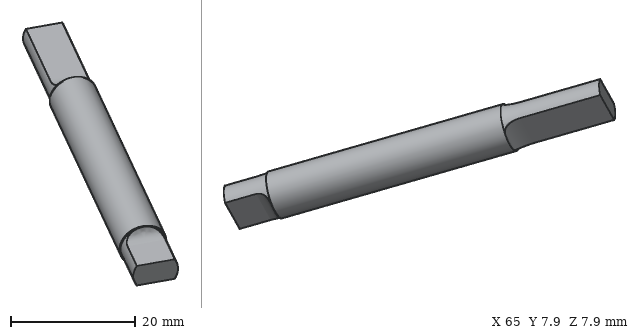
import cadquery as cq

total_length = 65.0
body_diameter = 7.9

left_tang_length = 16.9
left_flat_length = 13.95
left_tang_diameter = 7.1
left_root_diameter = 7.7
left_flat_thickness = 3.7
left_root_thickness = 6.84

right_tang_length = 7.4
right_tang_diameter = 7.5
right_flat_thickness = 4.0
right_runout_radius = 2.0
right_flat_length = right_tang_length - right_runout_radius
right_root_thickness = right_flat_thickness + 2 * right_runout_radius


def round_bar(length, diameter):
    """Cylinder along +X starting at the origin."""
    return cq.Workplane("YZ").circle(diameter / 2).extrude(length)


def runout_outline(start_height, end_height, straight_length, total_run):
    """Open outline in XZ: level from x = 0, then a concave quarter ellipse rising to total_run."""
    return (
        cq.Workplane("XZ")
        .moveTo(0, start_height)
        .lineTo(straight_length, start_height)
        .ellipseArc(total_run - straight_length, end_height - start_height, 270, 360)
    )


def flared_bar(length, straight_length, diameter, root_diameter):
    """Cylinder along +X that flares to root_diameter at its far end."""
    return (
        runout_outline(diameter / 2, root_diameter / 2, straight_length, length)
        .lineTo(length, 0)
        .lineTo(0, 0)
        .close()
        .revolve(360, (0, 0, 0), (1, 0, 0))
    )


def cut_flats(bar, length, flat_length, flat_thickness, root_thickness):
    """Cut two opposite flats, above and below the axis, that rise towards the far end of the bar."""
    clear_height = body_diameter
    cut_width = 2 * body_diameter
    upper = (
        runout_outline(flat_thickness / 2, root_thickness / 2, flat_length, length)
        .lineTo(length, clear_height)
        .lineTo(0, clear_height)
        .close()
        .extrude(cut_width)
        .translate((0, cut_width / 2, 0))
    )
    return bar.cut(upper).cut(upper.mirror("XY"))


body_length = total_length - left_tang_length - right_tang_length
body = round_bar(body_length, body_diameter).translate((left_tang_length, 0, 0))

left_bar = flared_bar(left_tang_length, left_flat_length, left_tang_diameter, left_root_diameter)
left_tang = cut_flats(
    left_bar, left_tang_length, left_flat_length, left_flat_thickness, left_root_thickness
)

right_bar = round_bar(right_tang_length, right_tang_diameter)
right_tang = cut_flats(
    right_bar, right_tang_length, right_flat_length, right_flat_thickness, right_root_thickness
)
right_tang = right_tang.mirror("YZ").translate((total_length, 0, 0))

result = body.union(left_tang).union(right_tang)